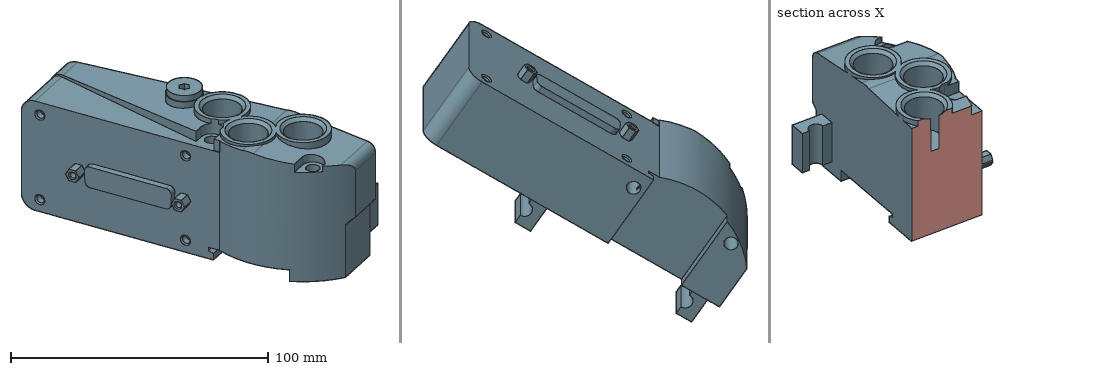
import cadquery as cq
import math

length = 139.2
depth = 32.9
shelf_height = 49.1
corner_radius = 6.1
right_top_radius = 4.2
left_top_height = 49.8
ridge_left_x, ridge_right_x = 99.7, 104.7
ridge_side_height = 54.8
ridge_height = 55.1
top_slope = math.atan((ridge_side_height - left_top_height) / ridge_left_x)
crest_drop = left_top_height - (shelf_height - corner_radius)
crest_radius = crest_drop * math.tan((math.pi / 2 + top_slope) / 2)
right_top_height = 50.5

foot_right_x = 136.7
step_low_z, step_high_z = 23.7, 26.0
channel_left_x, channel_right_x = 85.3, 119.2
channel_height = 5.2
undercut_depth = 2.2
undercut_low_z, undercut_high_z = 2.9, 3.8

bulge_radius = 41.8
bulge_center_x = 103.7
bulge_reach = 3.0
bulge_center_y = bulge_radius - bulge_reach

slot_width = 9.3
slot_center_y = 7.1
slot_center_xs = (80.6, 125.5)
mount_hole_diameter = 5.5

wall_left_y = 23.0
wall_right_y = 3.0
wall_right_x = slot_center_xs[0] - slot_width / 2
upper_front_setback = 0.4

port_top_z = 55.8
port_outer_diameter = 22.0
port_mouth_diameter = 18.2
port_bore_diameter = 15.5
port_chamfer_depth = 1.4
port_depth = 16.7
port_pitch = 18.0
middle_port_x = 95.1
front_port_y, back_port_y = 10.5, 22.0
port_centers = (
    (middle_port_x - port_pitch, back_port_y),
    (middle_port_x, front_port_y),
    (middle_port_x + port_pitch, back_port_y),
)
boss_base_z = 47.3

plug_center = (59.2, 24.0)
plug_top_z = 58.5
plug_head_diameter = 14.0
plug_collar_diameter = 14.8
plug_socket_corners = 4.6
plug_socket_depth = 4.2

connector_center_x = 48.9
connector_center_z = 23.5
connector_top_width, connector_bottom_width = 39.0, 37.9
connector_height = 9.2
connector_reach = 2.8
connector_corner_radius = 2.4
standoff_spacing = 46.9
standoff_corners = 6.0
standoff_reach = 5.0
standoff_hole_diameter, standoff_mouth_diameter = 2.5, 3.3

screw_xs = (8.2, 73.0)
screw_zs = (5.4, 43.5)
screw_hole_diameter, screw_mouth_diameter = 3.3, 4.5
front_hole_depth = 3.5
front_hole_chamfer_depth = 0.5

tab_width = 7.1
tab_low_z, tab_high_z = 5.5, 24.1
tabs = ((51.5, 14.2), (125.5, 13.8))
tab_notch_radius = 3.0
tab_notch_y = depth + 7.4

clearance = 7.0


def bar_along_y(outline):
    """Extrude an X-Z outline from in front of the bulge to the back face."""
    return outline.extrude(-(depth + clearance)).translate((0, -clearance, 0))


def edge_at(x, z):
    """Selector for the edge along Y that passes nearest to (x, z)."""
    return cq.selectors.NearestToPointSelector((x, (depth - clearance) / 2, z))


def side_profile():
    outline = (
        cq.Workplane("XZ")
        .moveTo(0, 0)
        .lineTo(channel_left_x, 0)
        .lineTo(channel_left_x, undercut_low_z)
        .lineTo(channel_left_x - undercut_depth, undercut_high_z)
        .lineTo(channel_left_x - undercut_depth, channel_height)
        .lineTo(channel_right_x, channel_height)
        .lineTo(channel_right_x, 0)
        .lineTo(foot_right_x, 0)
        .lineTo(foot_right_x, step_low_z)
        .lineTo(length, step_high_z)
        .lineTo(length, right_top_height)
        .lineTo(ridge_right_x, ridge_side_height)
        .threePointArc(
            ((ridge_left_x + ridge_right_x) / 2, ridge_height),
            (ridge_left_x, ridge_side_height),
        )
        .lineTo(0, left_top_height)
        .close()
    )
    bar = bar_along_y(outline)
    bar = bar.edges(edge_at(0, 0)).fillet(corner_radius)
    bar = bar.edges(edge_at(0, left_top_height)).fillet(crest_radius)
    return bar.edges(edge_at(length, right_top_height)).fillet(right_top_radius)


def bulge_y(x):
    """Front of the bulge at a given X."""
    return bulge_center_y - math.sqrt(bulge_radius**2 - (x - bulge_center_x) ** 2)


bulge_left_x = bulge_center_x - math.sqrt(bulge_radius**2 - bulge_center_y**2)


def plan_outline():
    return (
        cq.Workplane("XY")
        .moveTo(0, 0)
        .lineTo(bulge_left_x, 0)
        .threePointArc((bulge_center_x, -bulge_reach), (length, bulge_y(length)))
        .lineTo(length, depth)
        .lineTo(0, depth)
        .close()
        .extrude(plug_top_z)
    )


def shelf_cut():
    """Space above the front shelf, up to the diagonal wall."""
    wedge = (
        cq.Workplane("XY")
        .polyline([
            (0, -clearance),
            (wall_right_x, -clearance),
            (wall_right_x, wall_right_y),
            (0, wall_left_y),
        ])
        .close()
        .extrude(plug_top_z)
    )
    low_body = bar_along_y(cq.Workplane("XZ").rect(length, shelf_height, centered=False))
    low_body = low_body.edges(edge_at(0, 0)).fillet(corner_radius)
    low_body = low_body.edges(edge_at(0, shelf_height)).fillet(corner_radius)
    return wedge.cut(low_body)


def upright(center, diameter, low_z, high_z):
    """Vertical cylinder."""
    return (
        cq.Workplane("XY", origin=(*center, low_z))
        .circle(diameter / 2)
        .extrude(high_z - low_z)
    )


def port_boss(center):
    boss = upright(center, port_outer_diameter, boss_base_z, port_top_z)
    behind = cq.Workplane("XY").box(length, clearance, plug_top_z, centered=False)
    return boss.cut(behind.translate((0, depth, 0)))


def port_bore(center):
    bore = upright(center, port_bore_diameter, port_top_z - port_depth, port_top_z)
    mouth = cq.Solid.makeCone(
        port_mouth_diameter / 2,
        port_bore_diameter / 2,
        port_chamfer_depth,
        pnt=cq.Vector(*center, port_top_z),
        dir=cq.Vector(0, 0, -1),
    )
    return bore.union(cq.Workplane(mouth))


def mounting_slot(x):
    """Flat-floored slot with a round end and a through hole."""
    slot = upright((x, slot_center_y), slot_width, shelf_height, plug_top_z)
    run = cq.Workplane("XY").box(
        slot_width,
        slot_center_y + clearance,
        plug_top_z - shelf_height,
        centered=(True, False, False),
    )
    slot = slot.union(run.translate((x, -clearance, shelf_height)))
    return slot.union(upright((x, slot_center_y), mount_hole_diameter, 0, plug_top_z))


def upper_front_cut():
    """Sets the front face back between the first slot and the bulge."""
    return cq.Workplane("XY").box(
        bulge_left_x - wall_right_x,
        upper_front_setback,
        plug_top_z - shelf_height,
        centered=False,
    ).translate((wall_right_x, 0, shelf_height))


def plug():
    collar = upright(plug_center, plug_collar_diameter, boss_base_z, port_top_z)
    head = upright(plug_center, plug_head_diameter, port_top_z, plug_top_z)
    return collar.union(head)


def plug_socket():
    return (
        cq.Workplane("XY", origin=(*plug_center, plug_top_z))
        .polygon(6, plug_socket_corners)
        .extrude(-plug_socket_depth)
    )


def connector():
    top = connector_center_z + connector_height / 2
    bottom = connector_center_z - connector_height / 2
    return (
        cq.Workplane("XZ")
        .polyline([
            (connector_center_x - connector_top_width / 2, top),
            (connector_center_x + connector_top_width / 2, top),
            (connector_center_x + connector_bottom_width / 2, bottom),
            (connector_center_x - connector_bottom_width / 2, bottom),
        ])
        .close()
        .extrude(connector_reach)
        .edges("|Y")
        .fillet(connector_corner_radius)
    )


def standoff(x):
    return (
        cq.Workplane("XZ", origin=(x, 0, connector_center_z))
        .polygon(6, standoff_corners)
        .extrude(standoff_reach)
    )


def front_hole(x, y, z, diameter, mouth_diameter):
    """Blind hole along +Y with a chamfered mouth at the given point."""
    mouth = cq.Vector(x, y, z)
    inward = cq.Vector(0, 1, 0)
    hole = cq.Solid.makeCylinder(diameter / 2, front_hole_depth, mouth, inward)
    chamfer = cq.Solid.makeCone(
        mouth_diameter / 2, diameter / 2, front_hole_chamfer_depth, mouth, inward
    )
    return cq.Workplane(hole).union(cq.Workplane(chamfer))


def tab(x, reach):
    """Back tab with a round notch in its left side."""
    plate = cq.Workplane("XY").box(
        tab_width, reach, tab_high_z - tab_low_z, centered=False
    ).translate((x, depth, tab_low_z))
    return plate.cut(upright((x, tab_notch_y), 2 * tab_notch_radius, 0, plug_top_z))


result = plan_outline().intersect(side_profile())

for center in port_centers:
    result = result.union(port_boss(center))
result = result.union(plug())

result = result.cut(shelf_cut()).cut(upper_front_cut()).cut(plug_socket())
for center in port_centers:
    result = result.cut(port_bore(center))
for slot_x in slot_center_xs:
    result = result.cut(mounting_slot(slot_x))

result = result.union(connector())
for side in (-1, 1):
    standoff_x = connector_center_x + side * standoff_spacing / 2
    result = result.union(standoff(standoff_x))
    result = result.cut(
        front_hole(
            standoff_x,
            -standoff_reach,
            connector_center_z,
            standoff_hole_diameter,
            standoff_mouth_diameter,
        )
    )

for screw_x in screw_xs:
    for screw_z in screw_zs:
        result = result.cut(
            front_hole(screw_x, 0, screw_z, screw_hole_diameter, screw_mouth_diameter)
        )

for tab_x, tab_reach in tabs:
    result = result.union(tab(tab_x, tab_reach))